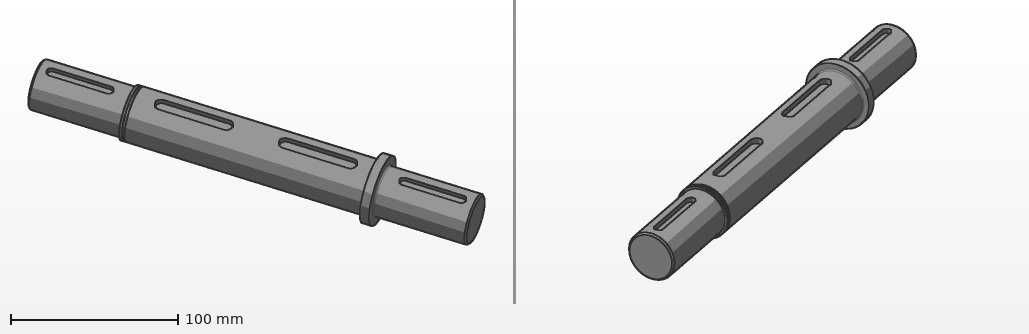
import cadquery as cq

length = 282.0
journal_radius = 31.9 / 2
body_radius = 35.0 / 2
collar_radius = 44.0 / 2

body_start = 59.5
collar_start = 216.0
collar_width = 6.0
collar_end = collar_start + collar_width

end_chamfer = 1.0
collar_fillet = 0.8

groove_start = 61.2
groove_width = 1.7
groove_depth = 0.8

journal_key = (42.8, 6.0, 3.5)
body_key = (50.0, 8.0, 4.0)

journal_key_starts = (6.2, 232.8)
body_key_starts = (75.8, 155.5)


def along(distance):
    """X coordinate of a point at this distance from the left end."""
    return distance - length / 2


def cylinder(start, end, radius):
    plane = cq.Workplane("YZ", origin=(along(start), 0, 0))
    return plane.circle(radius).extrude(end - start)


def keyway(start, size, shaft_radius):
    """Round-ended cutter with its floor below the crown of the shaft."""
    key_length, key_width, key_depth = size
    floor = cq.Workplane("XY", origin=(along(start + key_length / 2), 0, shaft_radius - key_depth))
    return floor.slot2D(key_length, key_width).extrude(2 * key_depth)


journals = cylinder(0, length, journal_radius).faces("<X or >X").chamfer(end_chamfer)
shaft = journals.union(cylinder(body_start, collar_start, body_radius))
shaft = shaft.union(cylinder(collar_start, collar_end, collar_radius))

for corner_x, radius in ((along(collar_start), body_radius), (along(collar_end), journal_radius)):
    corner = cq.selectors.BoxSelector(
        (corner_x - collar_fillet, -radius - collar_fillet, -radius - collar_fillet),
        (corner_x + collar_fillet, radius + collar_fillet, radius + collar_fillet),
        boundingbox=True,
    )
    shaft = shaft.edges(corner).edges("%CIRCLE").fillet(collar_fillet)

groove_end = groove_start + groove_width
ring = cylinder(groove_start, groove_end, collar_radius)
ring = ring.cut(cylinder(groove_start, groove_end, body_radius - groove_depth))
shaft = shaft.cut(ring)

for start in journal_key_starts:
    shaft = shaft.cut(keyway(start, journal_key, journal_radius))
for start in body_key_starts:
    shaft = shaft.cut(keyway(start, body_key, body_radius))

result = shaft